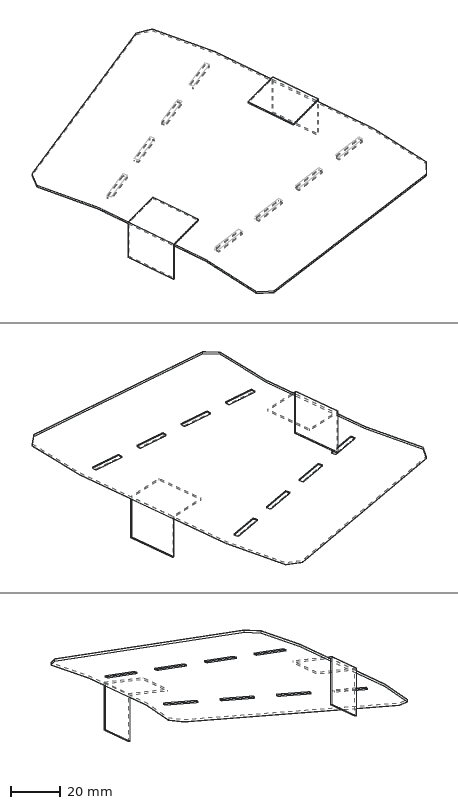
import cadquery as cq
import math

plate_thickness = 1.0
rear_edge_y = 52.0
front_edge_y = -49.0
rear_flat_half = 39.0
front_flat_half = 26.5
side_x = 71.5
side_rear_y = 42.6
rear_corner_x = 67.5
side_front_y = -48.3
front_corner_x = 54.0
taper_angle = 7.5
taper = math.tan(math.radians(taper_angle))

rib_length = 14.2
rib_width = 2.0
rib_height = 0.5
rib_count = 4
rib_pitch_y = 23.9
rear_rib_x = 36.9
rear_rib_y = 37.5

strip_thickness = 0.7
bracket_width = 22.5
flange_length = 17.6
bracket_height = 19.9


def make_outline():
    """Face outline of the plate, with slanted edge stretches and cut corners."""
    rear_corner_y = rear_edge_y - (rear_corner_x - rear_flat_half) * taper
    front_corner_y = front_edge_y - (front_corner_x - front_flat_half) * taper
    side_front_x = side_x - (side_rear_y - side_front_y) * taper
    right_half = [
        (rear_flat_half, rear_edge_y),
        (rear_corner_x, rear_corner_y),
        (side_x, side_rear_y),
        (side_front_x, side_front_y),
        (front_corner_x, front_corner_y),
        (front_flat_half, front_edge_y),
    ]
    left_half = [(-x, y) for x, y in reversed(right_half)]
    return right_half + left_half


def make_ribs():
    """All ribs, one row on each side, running from the plate's top face to below its underside."""
    ribs = []
    rib_depth = plate_thickness + rib_height
    for side in (-1, 1):
        for row in range(rib_count):
            drop = row * rib_pitch_y
            x = side * (rear_rib_x - drop * taper)
            y = rear_rib_y - drop
            rib = (
                cq.Workplane("XY")
                .box(rib_width, rib_length, rib_depth, centered=(True, True, False))
                .rotate((0, 0, 0), (0, 0, 1), -side * taper_angle)
                .translate((x, y, -rib_depth))
            )
            ribs.append(rib)
    return ribs


def make_plate():
    plate = (
        cq.Workplane("XY")
        .workplane(offset=-plate_thickness)
        .polyline(make_outline())
        .close()
        .extrude(plate_thickness)
    )
    for rib in make_ribs():
        plate = plate.union(rib, clean=False)
    return plate


def make_bracket(edge_y, outward):
    """L-shaped strip resting on the plate, its leg hanging outside the edge at edge_y."""
    outer_y = edge_y + outward * strip_thickness
    inner_y = outer_y - outward * flange_length
    leg_bottom = strip_thickness - bracket_height
    profile = [
        (outer_y, strip_thickness),
        (inner_y, strip_thickness),
        (inner_y, 0),
        (edge_y, 0),
        (edge_y, leg_bottom),
        (outer_y, leg_bottom),
    ]
    return cq.Workplane("YZ").polyline(profile).close().extrude(bracket_width / 2, both=True)


plate = make_plate()
brackets = [
    make_bracket(edge_y, outward)
    for edge_y, outward in ((rear_edge_y, 1), (front_edge_y, -1))
]

result = cq.Compound.makeCompound([plate.val(), *[bracket.val() for bracket in brackets]])